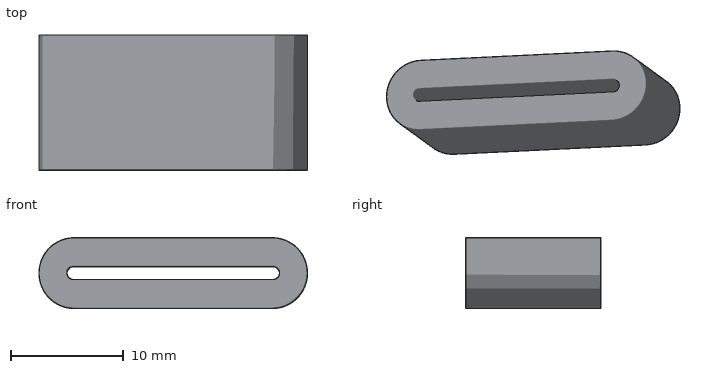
import cadquery as cq

width = 23.8
depth = 12.0
height = 6.3

end_wall = 2.5
flat_wall = 2.6
slot_width = width - 2 * end_wall
slot_height = height - 2 * flat_wall

rim_radius = 0.1


def obround_bar(bar_width, bar_height):
    """Obround bar centred on the origin and running along Y."""
    profile = cq.Workplane("XZ").slot2D(bar_width, bar_height)
    return profile.extrude(depth / 2, both=True)


def sleeve():
    """Obround body with a concentric obround slot and rounded rims."""
    body = obround_bar(width, height)
    slot = obround_bar(slot_width, slot_height)
    return body.cut(slot).faces("<Y or >Y").edges().fillet(rim_radius)


result = sleeve()